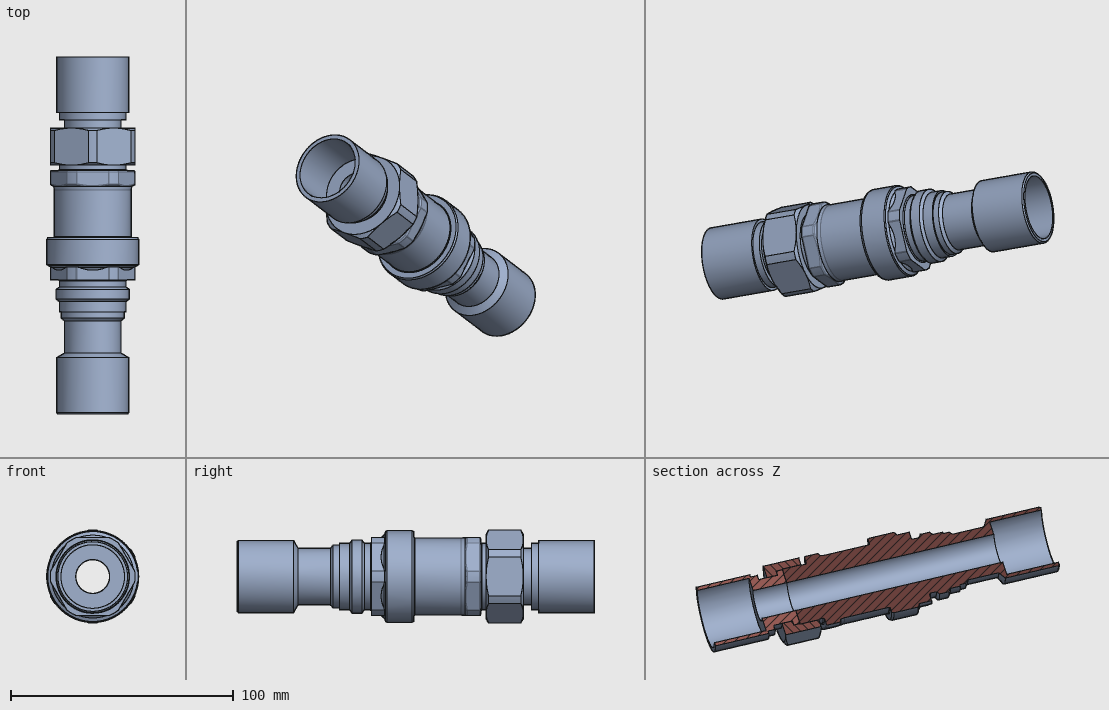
import cadquery as cq
import math

LENGTH = 160.4
TOP_END = LENGTH / 2
BOTTOM_END = -LENGTH / 2

BORE_DIA = 15.0
NECK_DIA = 25.5
COLLAR_DIA = 30.0
SLEEVE_DIA = 32.5
SOCKET_DIA = 28.5
SOCKET_DEPTH = 24.0

TAIL_SLEEVE_LENGTH = 25.0
TAIL_COLLAR_LENGTH = 3.2
FLANGE_THICKNESS = 3.2

NUT_TOP = 48.3
NUT_BOTTOM = 31.6
NUT_FLATS = 38.0
NUT_CORNER_DIA = 41.9
NUT_LIP = 4.8
NUT_CHAMFER_ANGLE = 30.0

HEX_FLATS = 35.1
HEX_CORNER_DIA = 38.0
UPPER_HEX_FILLET = 0.6
LOWER_HEX_FILLET = 1.1
UPPER_HEX_TOP = 29.2
UPPER_HEX_BOTTOM = 22.8
UNDERSIDE_SLOPE = 0.5
HEX_ROOT_BOTTOM = 20.4
LOWER_HEX_BOTTOM = -19.9
ROOT_CHAMFER = 0.5

BARREL_DIA = 34.6
BARREL_BOTTOM = -0.3
RING_DIA = 41.4
RING_TOP = -0.8
RING_BOTTOM = -13.5
RING_EDGE_LENGTH = 1.0
RING_EDGE_DEPTH = 0.5
SHOULDER_DIA = 37.2
SHOULDER_BOTTOM = -14.3
CONE_BOTTOM = -15.9

BEAD_DIA = 33.0
BEAD_TOP = -24.2
BEAD_BOTTOM = -28.5
BEAD_BEVEL = 1.1
OUTLET_COLLAR_BOTTOM = -34.3
STEP_DIA = 28.4
STEP_BOTTOM = -37.0
STEP_BEVEL = 1.3
TAPER_TOP = -52.8
TAPER_BOTTOM = -54.8
END_CHAMFER = 0.6

FLANGE_TOP = NUT_TOP - NUT_LIP
JOINT = FLANGE_TOP - FLANGE_THICKNESS


def turned(points):
    """Solid of revolution about Y from (radius, y) points; the axis closes the outline."""
    outline = [(0, points[0][1])] + points + [(0, points[-1][1])]
    return cq.Workplane("XY").polyline(outline).close().revolve(360, (0, 0, 0), (0, 1, 0))


def cylinder(diameter, top, bottom):
    return turned([(diameter / 2, top), (diameter / 2, bottom)])


def hex_prism(flats, top, bottom):
    """Hexagonal prism along Y with two flats facing +Z and -Z."""
    corner_circle = flats / math.cos(math.radians(30))
    return cq.Workplane("XZ", origin=(0, top, 0)).polygon(6, corner_circle).extrude(top - bottom)


def make_tail():
    collar_top = TOP_END - TAIL_SLEEVE_LENGTH
    tail = (
        cylinder(SLEEVE_DIA, TOP_END, collar_top)
        .union(cylinder(COLLAR_DIA, collar_top, collar_top - TAIL_COLLAR_LENGTH))
        .union(cylinder(NECK_DIA, collar_top, JOINT))
        .union(cylinder(COLLAR_DIA, FLANGE_TOP, JOINT))
    )
    socket = cylinder(SOCKET_DIA, TOP_END, TOP_END - SOCKET_DEPTH)
    return tail.cut(socket).cut(cylinder(BORE_DIA, TOP_END, JOINT))


def make_nut():
    corner_radius = NUT_CORNER_DIA / 2
    face_radius = NUT_FLATS / 2
    chamfer_length = (corner_radius - face_radius) * math.tan(math.radians(NUT_CHAMFER_ANGLE))
    envelope = turned([
        (face_radius, NUT_TOP),
        (corner_radius, NUT_TOP - chamfer_length),
        (corner_radius, NUT_BOTTOM + chamfer_length),
        (face_radius, NUT_BOTTOM),
    ])
    hexagon = hex_prism(NUT_FLATS, NUT_TOP, NUT_BOTTOM).rotate((0, 0, 0), (0, 1, 0), 90)
    neck_hole = cylinder(NECK_DIA, NUT_TOP, NUT_BOTTOM)
    spigot_hole = cylinder(COLLAR_DIA, FLANGE_TOP, NUT_BOTTOM)
    return hexagon.intersect(envelope).cut(neck_hole).cut(spigot_hole)


def upper_hexagon():
    """Wrench hexagon with turned-down corners, all edges rounded, standing on a tapered root."""
    corner_radius = HEX_CORNER_DIA / 2
    root_radius = HEX_FLATS / 2
    inner_radius = COLLAR_DIA / 2
    root_top = UPPER_HEX_BOTTOM - (corner_radius - root_radius) * UNDERSIDE_SLOPE
    inner_bottom = UPPER_HEX_BOTTOM - (corner_radius - inner_radius) * UNDERSIDE_SLOPE
    envelope = turned([
        (corner_radius, UPPER_HEX_TOP),
        (corner_radius, UPPER_HEX_BOTTOM),
        (inner_radius, inner_bottom),
    ])
    root_cone = turned([
        (root_radius, root_top),
        (BARREL_DIA / 2, HEX_ROOT_BOTTOM),
    ])
    hexagon = hex_prism(HEX_FLATS, UPPER_HEX_TOP, inner_bottom).intersect(envelope)
    return hexagon.edges().fillet(UPPER_HEX_FILLET).union(root_cone)


def lower_hexagon():
    """Wrench hexagon with its corners turned down and the edges of the turned strips rounded."""
    hexagon = hex_prism(HEX_FLATS, RING_BOTTOM, LOWER_HEX_BOTTOM)
    corner_turning = cylinder(HEX_CORNER_DIA, RING_BOTTOM, LOWER_HEX_BOTTOM)
    return hexagon.intersect(corner_turning).edges("|Y").fillet(LOWER_HEX_FILLET)


def barrel_and_ring():
    return turned([
        (COLLAR_DIA / 2, JOINT),
        (COLLAR_DIA / 2, UPPER_HEX_TOP + ROOT_CHAMFER),
        (COLLAR_DIA / 2 + ROOT_CHAMFER, UPPER_HEX_TOP),
        (COLLAR_DIA / 2 + ROOT_CHAMFER, UPPER_HEX_TOP - UPPER_HEX_FILLET),
        (BARREL_DIA / 2, UPPER_HEX_TOP - UPPER_HEX_FILLET),
        (BARREL_DIA / 2, BARREL_BOTTOM),
        (HEX_FLATS / 2, RING_TOP),
        (RING_DIA / 2 - RING_EDGE_DEPTH, RING_TOP),
        (RING_DIA / 2, RING_TOP - RING_EDGE_LENGTH),
        (RING_DIA / 2, RING_BOTTOM + RING_EDGE_DEPTH),
        (RING_DIA / 2 - RING_EDGE_DEPTH, RING_BOTTOM),
        (SHOULDER_DIA / 2, SHOULDER_BOTTOM),
        (BARREL_DIA / 2, CONE_BOTTOM),
    ])


def outlet():
    return turned([
        (COLLAR_DIA / 2 + ROOT_CHAMFER, LOWER_HEX_BOTTOM),
        (COLLAR_DIA / 2, LOWER_HEX_BOTTOM - ROOT_CHAMFER),
        (COLLAR_DIA / 2, BEAD_TOP + BEAD_BEVEL),
        (BEAD_DIA / 2, BEAD_TOP),
        (BEAD_DIA / 2, BEAD_BOTTOM),
        (COLLAR_DIA / 2, BEAD_BOTTOM - BEAD_BEVEL),
        (COLLAR_DIA / 2, OUTLET_COLLAR_BOTTOM),
        (STEP_DIA / 2, OUTLET_COLLAR_BOTTOM),
        (STEP_DIA / 2, STEP_BOTTOM),
        (NECK_DIA / 2, STEP_BOTTOM - STEP_BEVEL),
        (NECK_DIA / 2, TAPER_TOP),
        (SLEEVE_DIA / 2, TAPER_BOTTOM),
        (SLEEVE_DIA / 2, BOTTOM_END + END_CHAMFER),
        (SLEEVE_DIA / 2 - END_CHAMFER, BOTTOM_END),
    ])


def make_body():
    body = (
        barrel_and_ring()
        .union(upper_hexagon())
        .union(lower_hexagon())
        .union(outlet())
    )
    socket = cylinder(SOCKET_DIA, BOTTOM_END + SOCKET_DEPTH, BOTTOM_END)
    return body.cut(socket).cut(cylinder(BORE_DIA, JOINT, BOTTOM_END))


tail = make_tail()
nut = make_nut()
body = make_body()

result = cq.Compound.makeCompound([tail.val(), nut.val(), body.val()])